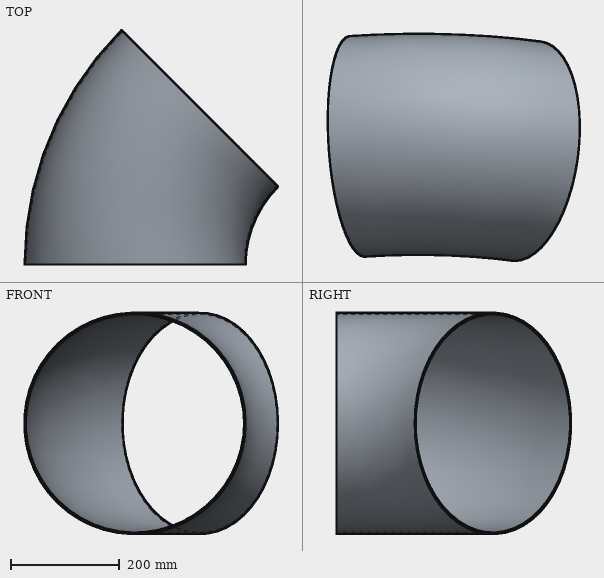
import cadquery as cq

OUTER_DIAMETER = 406.4
WALL_THICKNESS = 3.0
BEND_RADIUS = 406.0
BEND_ANGLE = 45.0

outer_radius = OUTER_DIAMETER / 2
inner_radius = outer_radius - WALL_THICKNESS


def pipe_elbow():
    """Sweep the pipe ring around a vertical axis on the +X side of the pipe."""
    ring = cq.Workplane("XZ").circle(outer_radius).circle(inner_radius)
    axis_start = (BEND_RADIUS, 0, 0)
    axis_end = (BEND_RADIUS, -1, 0)
    return ring.revolve(BEND_ANGLE, axis_start, axis_end)


result = pipe_elbow()